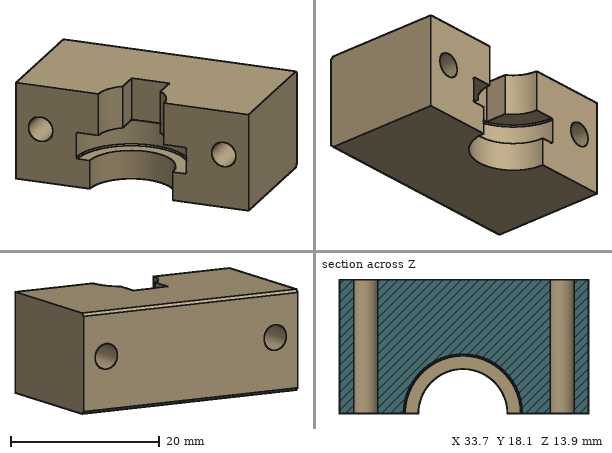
import cadquery as cq

LENGTH = 33.7
DEPTH = 18.1
HEIGHT = 13.9
BACK_BEVEL = 0.4

BORE_X = -0.15
LOWER_BORE_DIAMETER = 12.0
LOWER_BORE_HEIGHT = 4.1
GROOVE_DIAMETER = 16.0
GROOVE_HEIGHT = 3.8
GROOVE_BEVEL = 0.2
UPPER_BORE_DIAMETER = 9.5
GROOVE_TOP = LOWER_BORE_HEIGHT + GROOVE_HEIGHT
UPPER_BORE_HEIGHT = HEIGHT - GROOVE_TOP

NOTCH_WIDTH = 5.45
NOTCH_DEPTH = 7.25

BOLT_DIAMETER = 3.5
BOLT_SPACING = 26.55
BOLT_Z = 7.65


def make_block():
    """Plain block with bevelled top and bottom back edges."""
    block = cq.Workplane("XY").box(LENGTH, DEPTH, HEIGHT, centered=(True, False, False))
    return block.faces(">Y").edges("|X").chamfer(BACK_BEVEL)


def vertical_cylinder(diameter, height, base_z):
    """Cylinder on the bore axis, standing on base_z."""
    base = cq.Workplane("XY", origin=(BORE_X, 0, base_z))
    return base.circle(diameter / 2).extrude(height)


def make_stepped_bore():
    """Lower bore, bevelled ring groove and upper bore as one cutter."""
    lower = vertical_cylinder(LOWER_BORE_DIAMETER, LOWER_BORE_HEIGHT, 0)
    groove = vertical_cylinder(GROOVE_DIAMETER, GROOVE_HEIGHT, LOWER_BORE_HEIGHT)
    groove = groove.edges("%CIRCLE").chamfer(GROOVE_BEVEL)
    upper = vertical_cylinder(UPPER_BORE_DIAMETER, UPPER_BORE_HEIGHT, GROOVE_TOP)
    return lower.union(groove).union(upper)


def make_notch():
    """Notch cutter from the groove floor up through the top face."""
    base = cq.Workplane("XY", origin=(BORE_X, 0, LOWER_BORE_HEIGHT))
    return base.box(
        NOTCH_WIDTH,
        NOTCH_DEPTH,
        HEIGHT - LOWER_BORE_HEIGHT,
        centered=(True, False, False),
    )


def make_bolt_holes():
    """Pair of cylinders through the full depth of the block."""
    front = cq.Workplane("XZ", origin=(0, 0, BOLT_Z))
    centres = [(-BOLT_SPACING / 2, 0), (BOLT_SPACING / 2, 0)]
    return front.pushPoints(centres).circle(BOLT_DIAMETER / 2).extrude(-DEPTH)


result = make_block().cut(make_stepped_bore()).cut(make_notch()).cut(make_bolt_holes())